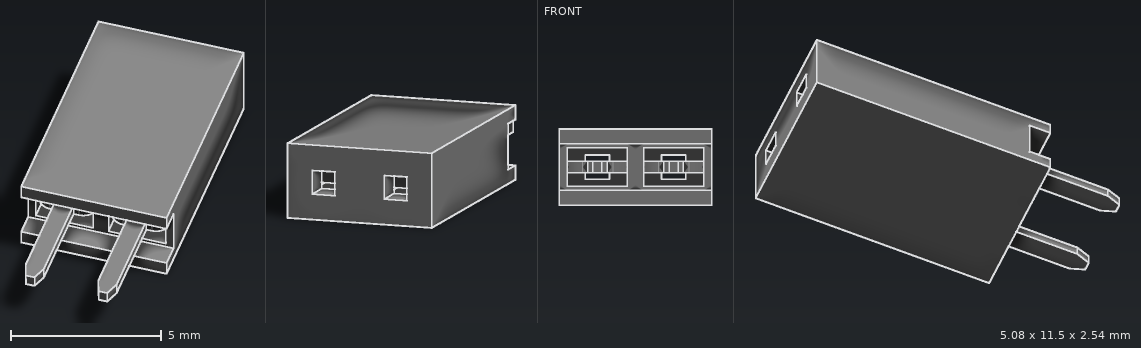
import cadquery as cq

PITCH = 2.54
CONTACT_COUNT = 2
TOTAL_LENGTH = 11.5
TAIL_PROTRUSION = 3.0

HOUSING_WIDTH = CONTACT_COUNT * PITCH
HOUSING_HEIGHT = 2.54
HOUSING_LENGTH = TOTAL_LENGTH - TAIL_PROTRUSION
LIP_DEPTH = 0.76
LIP_THICKNESS = 0.5
CAVITY_WIDTH = 2.0
CAVITY_HEIGHT = 1.28
BACK_WALL = 1.0
ENTRY_SIZE = 0.8

CONTACT_THICKNESS = 0.39
TAIL_WIDTH = 0.64
TIP_WIDTH = 0.3
TIP_LENGTH = 0.5
SHOULDER_RADIUS = 0.5

TIP_Y = -TAIL_PROTRUSION
SHOULDER_Y = LIP_DEPTH
CAVITY_END_Y = HOUSING_LENGTH - BACK_WALL

CONTACT_CENTRES = [(i - (CONTACT_COUNT - 1) / 2) * PITCH for i in range(CONTACT_COUNT)]


def block(width, height, start_y, end_y, centre_x=0):
    """Box centred on centre_x and Z = 0, spanning start_y to end_y."""
    return (
        cq.Workplane("XY")
        .box(width, end_y - start_y, height, centered=(True, False, True))
        .translate((centre_x, start_y, 0))
    )


def make_housing():
    body = block(HOUSING_WIDTH, HOUSING_HEIGHT, 0, HOUSING_LENGTH)

    recess_height = HOUSING_HEIGHT - 2 * LIP_THICKNESS
    body = body.cut(block(HOUSING_WIDTH, recess_height, 0, LIP_DEPTH))

    for centre_x in CONTACT_CENTRES:
        body = body.cut(block(CAVITY_WIDTH, CAVITY_HEIGHT, LIP_DEPTH, CAVITY_END_Y, centre_x))
        body = body.cut(block(ENTRY_SIZE, ENTRY_SIZE, CAVITY_END_Y, HOUSING_LENGTH, centre_x))
    return body


def make_contact(centre_x):
    blade = block(CAVITY_WIDTH, CONTACT_THICKNESS, SHOULDER_Y, CAVITY_END_Y)
    blade = blade.faces("<Y").edges("|Z").fillet(SHOULDER_RADIUS)

    taper_y = TIP_Y + TIP_LENGTH
    tail = (
        cq.Workplane("XY")
        .polyline([
            (-TAIL_WIDTH / 2, SHOULDER_Y),
            (-TAIL_WIDTH / 2, taper_y),
            (-TIP_WIDTH / 2, TIP_Y),
            (TIP_WIDTH / 2, TIP_Y),
            (TAIL_WIDTH / 2, taper_y),
            (TAIL_WIDTH / 2, SHOULDER_Y),
        ])
        .close()
        .extrude(CONTACT_THICKNESS / 2, both=True)
    )
    return blade.union(tail).translate((centre_x, 0, 0))


housing = make_housing()
contacts = [make_contact(centre_x) for centre_x in CONTACT_CENTRES]

result = cq.Compound.makeCompound([housing.val(), *[contact.val() for contact in contacts]])